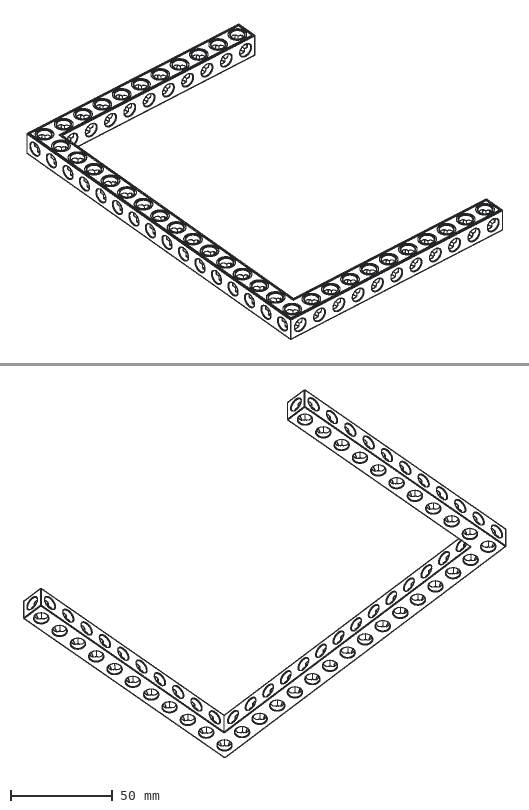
import cadquery as cq

pitch = 12.5
base_holes = 16
leg_holes = 11
hole_diameter = 7.0
edge_chamfer = 0.3
rim_diameter = 9.2
recess_depth = 0.2

length = base_holes * pitch
depth = leg_holes * pitch
half_pitch = pitch / 2
border = (rim_diameter - hole_diameter) / 2

base_stations = [half_pitch + i * pitch for i in range(base_holes)]
leg_stations = [half_pitch + i * pitch for i in range(leg_holes)]
leg_centres = (base_stations[0], base_stations[-1])
top_centres = [(x, half_pitch) for x in base_stations]
top_centres += [(x, y) for x in leg_centres for y in leg_stations[1:]]


def u_block(inset, bottom, height):
    """U-shaped block whose outline lies inside that of the frame by the inset."""
    leg_width = pitch - inset
    outline = [
        (inset, inset),
        (length - inset, inset),
        (length - inset, depth - inset),
        (length - leg_width, depth - inset),
        (length - leg_width, leg_width),
        (leg_width, leg_width),
        (leg_width, depth - inset),
        (inset, depth - inset),
    ]
    return cq.Workplane("XY").workplane(offset=bottom).polyline(outline).close().extrude(height)


def chamfered_frame():
    """Square-section frame with every edge chamfered except the two sharp inner corners."""
    frame = u_block(0, 0, pitch)
    inner_corners = cq.selectors.BoxSelector(
        (half_pitch, half_pitch, 0),
        (length - half_pitch, pitch + half_pitch, pitch),
    )
    sharp_edges = cq.selectors.AndSelector(cq.StringSyntaxSelector("|Z"), inner_corners)
    chamfered_edges = cq.selectors.InverseSelector(sharp_edges)
    return frame.edges(chamfered_edges).chamfer(edge_chamfer)


def drill(frame, plane, centres, travel):
    """Through holes at the given centres, drilled square to the named plane."""
    holes = cq.Workplane(plane).pushPoints(centres).circle(hole_diameter / 2).extrude(travel)
    return frame.cut(holes)


def drilled_frame():
    """Frame drilled along all three axes, with all the hole mouths chamfered."""
    frame = chamfered_frame()
    frame = drill(frame, "XY", top_centres, pitch)
    frame = drill(frame, "XZ", [(x, half_pitch) for x in base_stations], -depth)
    frame = drill(frame, "YZ", [(y, half_pitch) for y in leg_stations], length)
    return frame.edges("%CIRCLE").chamfer(edge_chamfer)


def top_recess():
    """Shallow volume removed from the top face, leaving the border and the hole rims."""
    floor = pitch - recess_depth
    rims = (
        cq.Workplane("XY")
        .workplane(offset=floor)
        .pushPoints(top_centres)
        .circle(rim_diameter / 2)
        .extrude(recess_depth)
    )
    return u_block(border, floor, recess_depth).cut(rims)


result = drilled_frame().cut(top_recess())